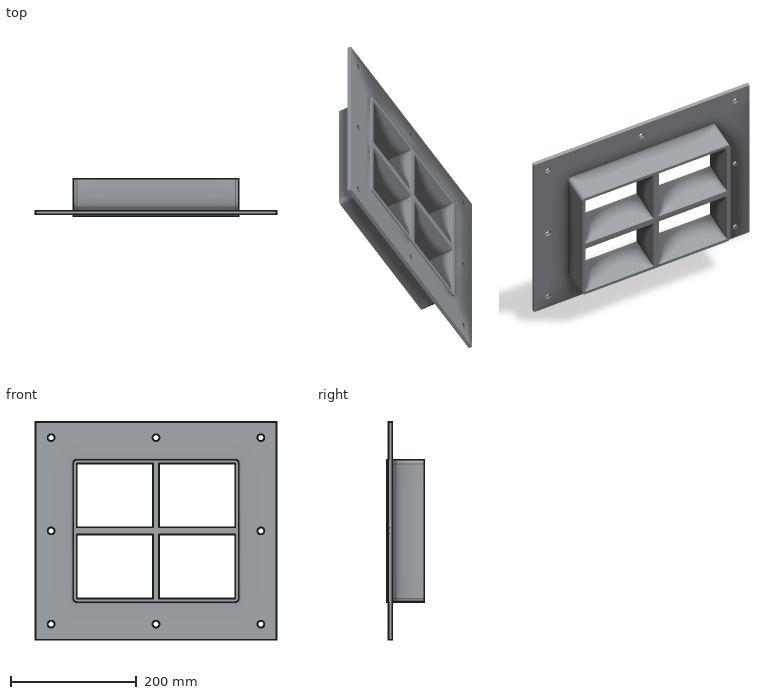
import cadquery as cq

plate_width = 383.0
plate_height = 346.0
plate_thickness = 6.0

frame_depth = 60.0
frame_front_lip = 3.0
frame_corner_radius = 6.0

opening_width = 120.5
opening_height = 101.0
frame_wall = 6.0
vertical_bar = 10.0
horizontal_bar = 12.0
frame_width = 2 * (frame_wall + opening_width) + vertical_bar
frame_height = 2 * (frame_wall + opening_height) + horizontal_bar
opening_offset_x = (opening_width + vertical_bar) / 2
opening_offset_z = (opening_height + horizontal_bar) / 2

bolt_diameter = 10.5
bolt_edge_distance = 25.0
bolt_offset_x = plate_width / 2 - bolt_edge_distance
bolt_offset_z = plate_height / 2 - bolt_edge_distance


def upright_plane(y):
    """Workplane at the given Y with local axes along X and Z; negative extrusions run toward +Y."""
    return cq.Workplane(cq.Plane(origin=(0, y, 0), xDir=(1, 0, 0), normal=(0, -1, 0)))


def make_plate():
    """Flat plate with the ring of eight bolt holes."""
    plate = upright_plane(0).rect(plate_width, plate_height).extrude(-plate_thickness)
    bolt_points = [
        (column * bolt_offset_x, row * bolt_offset_z)
        for column in (-1, 0, 1)
        for row in (-1, 0, 1)
        if (column, row) != (0, 0)
    ]
    bolts = upright_plane(0).pushPoints(bolt_points).circle(bolt_diameter / 2).extrude(-plate_thickness)
    return plate.cut(bolts)


def make_frame_block():
    """Solid frame block with rounded long edges, standing proud of the plate front."""
    block = upright_plane(-frame_front_lip).rect(frame_width, frame_height).extrude(-frame_depth)
    return block.edges("|Y").fillet(frame_corner_radius)


def make_openings():
    """The four square-cornered passages through the full frame depth."""
    centres = [
        (column * opening_offset_x, row * opening_offset_z)
        for column in (-1, 1)
        for row in (-1, 1)
    ]
    passages = upright_plane(-frame_front_lip).pushPoints(centres)
    return passages.rect(opening_width, opening_height).extrude(-frame_depth)


result = make_plate().union(make_frame_block()).cut(make_openings())